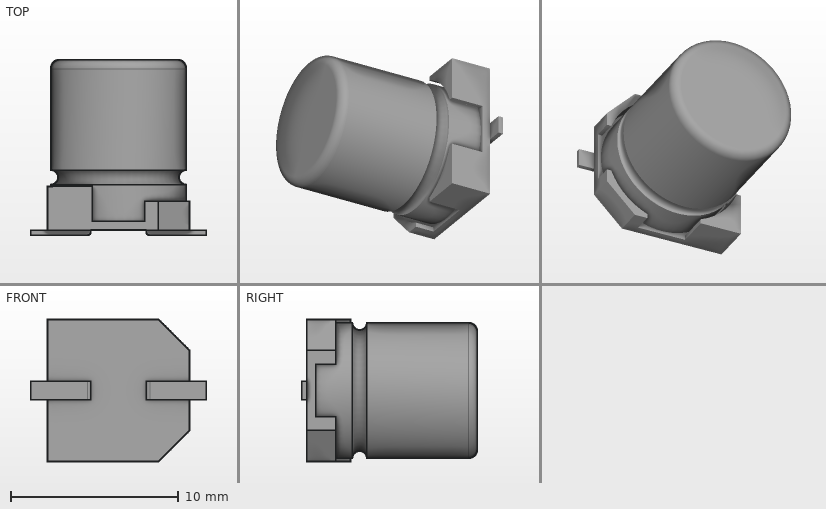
import cadquery as cq


lead_span = 10.5
lead_gap = 3.3
lead_width = 1.11
lead_thickness = 0.3
lead_round = 0.21

base_side = 8.5
corner_cut = 1.86
floor_y = 0.83
tall_post_y = 2.93
short_post_y = 2.05
slot_width = 3.13
can_clearance = 0.21

can_radius = 4.06
can_top_y = 10.51
can_top_round = 0.54
groove_y = 3.47
groove_radius = 0.43

half_side = base_side / 2
half_slot = slot_width / 2


def box_between(x_min, x_max, y_min, y_max, z_min, z_max):
    return cq.Workplane("XY").box(
        x_max - x_min, y_max - y_min, z_max - z_min, centered=False
    ).translate((x_min, y_min, z_min))


def cylinder_from_floor(radius, top_y):
    """Cylinder on the can axis, standing on the base floor."""
    return cq.Workplane("XZ", origin=(0, floor_y, 0)).circle(radius).extrude(floor_y - top_y)


def make_can():
    """Can with a rounded closed end and a half-round crimp groove."""
    groove = (
        cq.Workplane("XY")
        .center(can_radius, groove_y)
        .circle(groove_radius)
        .revolve(360, (-can_radius, 0), (-can_radius, 1))
    )
    blank = cylinder_from_floor(can_radius, can_top_y)
    return blank.faces(">Y").edges().fillet(can_top_round).cut(groove)


def make_base():
    """Square base with two cut corners and four posts standing clear of the can."""
    block = box_between(-half_side, half_side, lead_thickness, tall_post_y, -half_side, half_side)
    block = block.edges("|Y and >X").chamfer(corner_cut)

    short_post_relief = box_between(
        half_slot, half_side, short_post_y, tall_post_y, -half_side, half_side
    )
    slot_along_x = box_between(-half_side, half_side, floor_y, tall_post_y, -half_slot, half_slot)
    slot_along_z = box_between(-half_slot, half_slot, floor_y, tall_post_y, -half_side, half_side)
    bore = cylinder_from_floor(can_radius + can_clearance, tall_post_y)
    return block.cut(short_post_relief).cut(slot_along_x).cut(slot_along_z).cut(bore)


def make_lead(side):
    """Flat lead under the base; side is -1 or +1 along X."""
    inner_x = lead_gap / 2
    outer_x = lead_span / 2
    lead = box_between(inner_x, outer_x, 0, lead_thickness, -lead_width / 2, lead_width / 2)
    lead = lead.edges("<X and <Y").fillet(lead_round)
    return lead if side > 0 else lead.mirror("YZ")


can = make_can()
base = make_base()
leads = [make_lead(side) for side in (-1, 1)]

result = cq.Compound.makeCompound([can.val(), base.val(), *[lead.val() for lead in leads]])